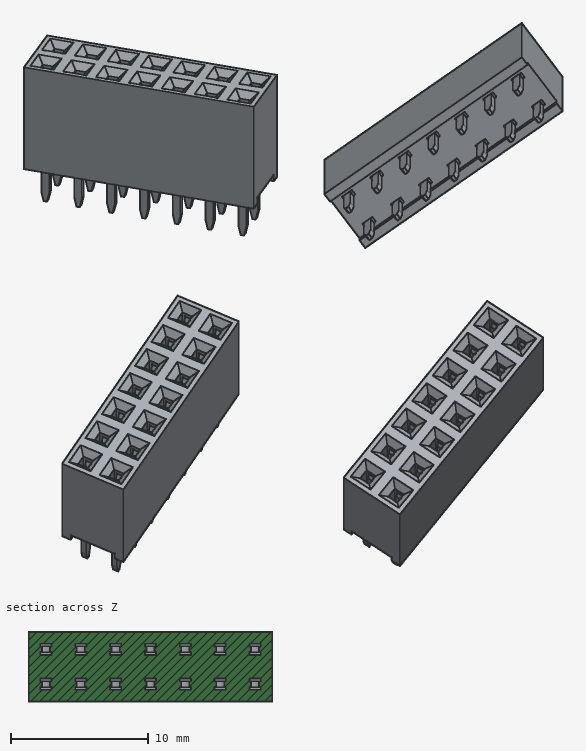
import cadquery as cq


columns = 7
rows = 2
length = 17.78
pitch = length / columns
width = rows * pitch

housing_height = 8.5
foot_width = 0.71
foot_height = 0.53

mouth_size = 1.8
well_size = 0.8
mouth_depth = (mouth_size - well_size) / 2
well_depth = 6.05
well_floor = housing_height - well_depth

contact_thickness = 0.43
contact_width = 1.53
contact_top_depth = 0.85
contact_top = housing_height - contact_top_depth
fork_mouth_width = 1.32
fork_throat_width = 0.57
fork_lead_in = 0.53
fork_base_thickness = 0.35
fork_base_height = well_floor + fork_base_thickness
fork_base_sag = 0.07

pin_length = 3.0
pin_width = 0.6
pin_tip_width = 0.25
pin_tip_length = 0.75
shoulder_width = 0.89
shoulder_height = 0.12

contact_points = [
    ((column - (columns - 1) / 2) * pitch, (row - (rows - 1) / 2) * pitch)
    for column in range(columns)
    for row in range(rows)
]


def make_housing():
    """Block with a full-length channel underneath, leaving a foot along each side."""
    block = cq.Workplane("XY").box(length, width, housing_height, centered=(True, True, False))
    channel = cq.Workplane("XY").box(
        length, width - 2 * foot_width, foot_height, centered=(True, True, False)
    )
    return block.cut(channel)


def make_socket():
    """Square well with a funnel-shaped mouth at the top of the housing."""
    funnel = (
        cq.Workplane("XY", origin=(0, 0, housing_height - mouth_depth))
        .rect(well_size, well_size)
        .workplane(offset=mouth_depth)
        .rect(mouth_size, mouth_size)
        .loft(ruled=True)
    )
    well = cq.Workplane("XY", origin=(0, 0, well_floor)).rect(well_size, well_size).extrude(
        well_depth - mouth_depth
    )
    return funnel.union(well)


def extrude_across(outline):
    """Extrude an XZ outline to the contact thickness, centred on Y = 0."""
    return outline.close().extrude(contact_thickness / 2, both=True)


def make_fork_gap():
    """Opening between the fork arms: a lead-in, a parallel throat and a shallow curved base."""
    throat_top = contact_top - fork_lead_in
    return extrude_across(
        cq.Workplane("XZ")
        .moveTo(-fork_mouth_width / 2, contact_top)
        .lineTo(-fork_throat_width / 2, throat_top)
        .lineTo(-fork_throat_width / 2, fork_base_height)
        .threePointArc(
            (0, fork_base_height - fork_base_sag),
            (fork_throat_width / 2, fork_base_height),
        )
        .lineTo(fork_throat_width / 2, throat_top)
        .lineTo(fork_mouth_width / 2, contact_top)
    )


def make_contact():
    """Fork body with sloping lower shoulders and a pin with a tapered tip."""
    shoulder_top = foot_height
    shoulder_bottom = shoulder_top - shoulder_height
    pin_end = -pin_length
    taper_start = pin_end + pin_tip_length
    right_side = [
        (contact_width / 2, contact_top),
        (contact_width / 2, well_floor),
        (shoulder_width / 2, well_floor),
        (shoulder_width / 2, shoulder_top),
        (pin_width / 2, shoulder_bottom),
        (pin_width / 2, taper_start),
        (pin_tip_width / 2, pin_end),
    ]
    left_side = [(-x, z) for x, z in reversed(right_side)]
    body = extrude_across(cq.Workplane("XZ").polyline(right_side + left_side))
    return body.cut(make_fork_gap())


def at_contact_points(shape):
    """Copies of a shape at every contact position."""
    solid = shape.val()
    return cq.Workplane("XY").pushPoints(contact_points).eachpoint(
        lambda location: solid.moved(location)
    )


sockets = at_contact_points(make_socket())
fork_gaps = at_contact_points(make_fork_gap())
contacts = at_contact_points(make_contact())
result = make_housing().cut(sockets).cut(fork_gaps).union(contacts)